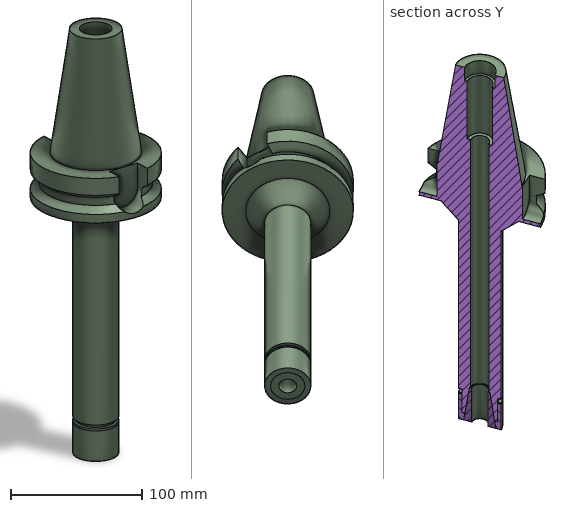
import cadquery as cq
import math

TOTAL_LENGTH = 351.8

GAUGE_RADIUS = 35.0
TAPER_LENGTH = 101.5
TAPER_RATIO = 7 / 24
TAPER_TOP_RADIUS = GAUGE_RADIUS - TAPER_LENGTH * TAPER_RATIO / 2
GAUGE_Z = TOTAL_LENGTH - TAPER_LENGTH
GAUGE_LAND = 1.0

FLANGE_RADIUS = 50.0
FLANGE_TOP_Z = GAUGE_Z - GAUGE_LAND
FLANGE_HEIGHT = 37.0
FLANGE_BOTTOM_Z = FLANGE_TOP_Z - FLANGE_HEIGHT
UPPER_RIM_HEIGHT = 14.0
LOWER_RIM_HEIGHT = 7.0
GROOVE_DEPTH = 6.7
GROOVE_FLANK_HEIGHT = 4.5
GROOVE_RADIUS = FLANGE_RADIUS - GROOVE_DEPTH
UPPER_RIM_Z = FLANGE_TOP_Z - UPPER_RIM_HEIGHT
LOWER_RIM_Z = FLANGE_BOTTOM_Z + LOWER_RIM_HEIGHT

SLOT_WIDTH = 26.7
SLOT_FLOOR_X = 35.5
SLOT_BOTTOM_Z = 216.0
SLOT_RADIUS = SLOT_WIDTH / 2
SLOT_AXIS_Z = SLOT_BOTTOM_Z + SLOT_RADIUS

SHANK_RADIUS = 17.5
SHOULDER_RADIUS = 32.0
SHOULDER_BOTTOM_Z = FLANGE_BOTTOM_Z - (SHOULDER_RADIUS - SHANK_RADIUS)
NUT_HEIGHT = 25.5
COLLAR_HEIGHT = 1.8
RELIEF_WIDTH = 3.0
RELIEF_RADIUS = 14.8
COLLAR_TOP_Z = NUT_HEIGHT + COLLAR_HEIGHT
SHANK_BOTTOM_Z = COLLAR_TOP_Z + RELIEF_WIDTH
NECK_RADIUS = 14.8
NECK_BOTTOM_Z = 7.0

MOUTH_RADIUS = 12.3
MOUTH_DEPTH = 13.0
DRAWBAR_RADIUS = 10.2
DRAWBAR_DEPTH = 70.5
THROUGH_RADIUS = 7.5

COLLET_LENGTH = 34.0
COLLET_BOTTOM_RADIUS = 13.0
COLLET_BORE_RADIUS = 6.7
COLLET_TOP_RADIUS = COLLET_BOTTOM_RADIUS - COLLET_LENGTH * math.tan(math.radians(8))


def revolved(profile):
    """Revolve a closed list of (radius, z) points about the Z axis."""
    return cq.Workplane("XZ").polyline(profile).close().revolve(360, (0, 0, 0), (0, 1, 0))


def cylinder(radius, bottom_z, top_z):
    return cq.Workplane("XY").workplane(offset=bottom_z).circle(radius).extrude(top_z - bottom_z)


def make_collet_cone():
    return revolved([
        (0, 0),
        (COLLET_BOTTOM_RADIUS, 0),
        (COLLET_TOP_RADIUS, COLLET_LENGTH),
        (0, COLLET_LENGTH),
    ])


def make_drive_slot(side):
    """Round-bottomed slot cutter, open at the flange top; side is -1 or +1."""
    start_x = SLOT_FLOOR_X if side > 0 else -FLANGE_RADIUS
    return (
        cq.Workplane("YZ")
        .workplane(offset=start_x)
        .moveTo(-SLOT_RADIUS, FLANGE_TOP_Z)
        .lineTo(-SLOT_RADIUS, SLOT_AXIS_Z)
        .threePointArc((0, SLOT_BOTTOM_Z), (SLOT_RADIUS, SLOT_AXIS_Z))
        .lineTo(SLOT_RADIUS, FLANGE_TOP_Z)
        .close()
        .extrude(FLANGE_RADIUS - SLOT_FLOOR_X)
    )


def make_holder():
    holder = revolved([
        (0, TOTAL_LENGTH),
        (TAPER_TOP_RADIUS, TOTAL_LENGTH),
        (GAUGE_RADIUS, GAUGE_Z),
        (GAUGE_RADIUS, FLANGE_TOP_Z),
        (FLANGE_RADIUS, FLANGE_TOP_Z),
        (FLANGE_RADIUS, UPPER_RIM_Z),
        (GROOVE_RADIUS, UPPER_RIM_Z - GROOVE_FLANK_HEIGHT),
        (GROOVE_RADIUS, LOWER_RIM_Z + GROOVE_FLANK_HEIGHT),
        (FLANGE_RADIUS, LOWER_RIM_Z),
        (FLANGE_RADIUS, FLANGE_BOTTOM_Z),
        (SHOULDER_RADIUS, FLANGE_BOTTOM_Z),
        (SHANK_RADIUS, SHOULDER_BOTTOM_Z),
        (SHANK_RADIUS, SHANK_BOTTOM_Z),
        (RELIEF_RADIUS, SHANK_BOTTOM_Z),
        (RELIEF_RADIUS, COLLAR_TOP_Z),
        (SHANK_RADIUS, COLLAR_TOP_Z),
        (SHANK_RADIUS, NUT_HEIGHT),
        (NECK_RADIUS, NUT_HEIGHT),
        (NECK_RADIUS, NECK_BOTTOM_Z),
        (0, NECK_BOTTOM_Z),
    ])
    for side in (-1, 1):
        holder = holder.cut(make_drive_slot(side))
    holder = holder.cut(cylinder(MOUTH_RADIUS, TOTAL_LENGTH - MOUTH_DEPTH, TOTAL_LENGTH))
    holder = holder.cut(cylinder(DRAWBAR_RADIUS, TOTAL_LENGTH - DRAWBAR_DEPTH, TOTAL_LENGTH))
    holder = holder.cut(cylinder(THROUGH_RADIUS, NECK_BOTTOM_Z, TOTAL_LENGTH))
    return holder.cut(make_collet_cone())


def make_nut():
    """Clamping cup around the holder's neck, flush with its collar."""
    nut = revolved([
        (0, 0),
        (SHANK_RADIUS, 0),
        (SHANK_RADIUS, NUT_HEIGHT),
        (0, NUT_HEIGHT),
    ])
    nut = nut.cut(cylinder(NECK_RADIUS, NECK_BOTTOM_Z, NUT_HEIGHT))
    return nut.cut(make_collet_cone())


def make_collet():
    return make_collet_cone().cut(cylinder(COLLET_BORE_RADIUS, 0, COLLET_LENGTH))


holder = make_holder()
nut = make_nut()
collet = make_collet()

result = cq.Compound.makeCompound([holder.val(), nut.val(), collet.val()])